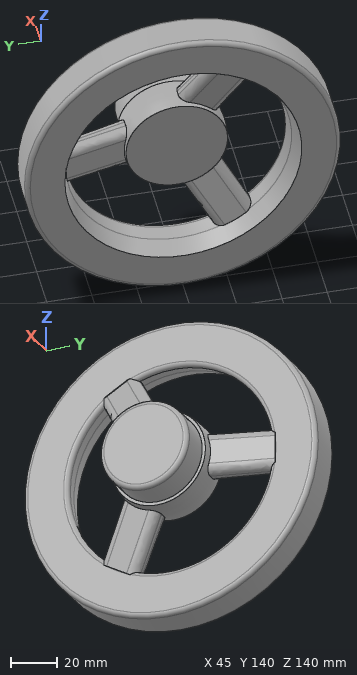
import cadquery as cq

rim_radius = 70.0
rim_width = 18.0
rim_fillet = 2.1
bore_front_radius = 52.5
bore_middle_radius = 50.0
bore_back_radius = 48.2

hub_front = 13.0
hub_back = 29.8
hub_edge_radius = 22.5
hub_crown_radius = 23.4
boss_radius = 21.0
boss_end = 45.0
boss_fillet = 2.1

spoke_count = 3
spoke_inner_width = 19.7
spoke_outer_width = 19.3
spoke_inner_thickness = 11.3
spoke_outer_thickness = 10.1
spoke_fillet = 4.2
spoke_inner_reach = 14.0
spoke_outer_reach = 50.4
spoke_back_at_hub = 26.2
spoke_back_at_rim = 18.6
hub_reach = 22.4
rim_reach = 49.5


def revolve_about_x(profile):
    return profile.close().revolve(360, (0, 0, 0), (1, 0, 0))


def make_rim():
    profile = (
        cq.Workplane("XY")
        .moveTo(0, bore_front_radius)
        .lineTo(0, rim_radius)
        .lineTo(rim_width, rim_radius)
        .lineTo(rim_width, bore_back_radius)
        .lineTo(rim_width / 2, bore_middle_radius)
    )
    outer_edges = cq.selectors.RadiusNthSelector(-1)
    rim = revolve_about_x(profile).edges(outer_edges).fillet(rim_fillet)
    back_bore_edge = cq.selectors.RadiusNthSelector(0)
    return rim.faces(">X").edges(back_bore_edge).fillet(rim_fillet)


def make_hub():
    hub_middle = (hub_front + hub_back) / 2
    profile = (
        cq.Workplane("XY")
        .moveTo(hub_front, 0)
        .lineTo(hub_front, hub_edge_radius)
        .threePointArc((hub_middle, hub_crown_radius), (hub_back, hub_edge_radius))
        .lineTo(hub_back, boss_radius)
        .lineTo(boss_end, boss_radius)
        .lineTo(boss_end, 0)
    )
    return revolve_about_x(profile).edges(">X").fillet(boss_fillet)


def spoke_back(reach):
    """X of the spoke's back surface at a distance from the axis."""
    slope = (spoke_back_at_rim - spoke_back_at_hub) / (rim_reach - hub_reach)
    return spoke_back_at_hub + slope * (reach - hub_reach)


def spoke_section(reach, width, thickness):
    """Rectangle square to the Y axis, with its back on the spoke's back surface."""
    back = spoke_back(reach)
    corners = [
        (back, -width / 2),
        (back, width / 2),
        (back - thickness, width / 2),
        (back - thickness, -width / 2),
    ]
    return cq.Wire.makePolygon([cq.Vector(x, reach, z) for x, z in corners], close=True)


def make_spoke():
    """A spoke along +Y, cut square to the Y axis at both ends."""
    inner = spoke_section(spoke_inner_reach, spoke_inner_width, spoke_inner_thickness)
    outer = spoke_section(spoke_outer_reach, spoke_outer_width, spoke_outer_thickness)
    bar = cq.Workplane(obj=cq.Solid.makeLoft([inner, outer], True))
    return bar.edges("not(#Y)").fillet(spoke_fillet)


result = make_rim().union(make_hub())
for index in range(spoke_count):
    angle = index * 360 / spoke_count
    result = result.union(make_spoke().rotate((0, 0, 0), (1, 0, 0), angle))